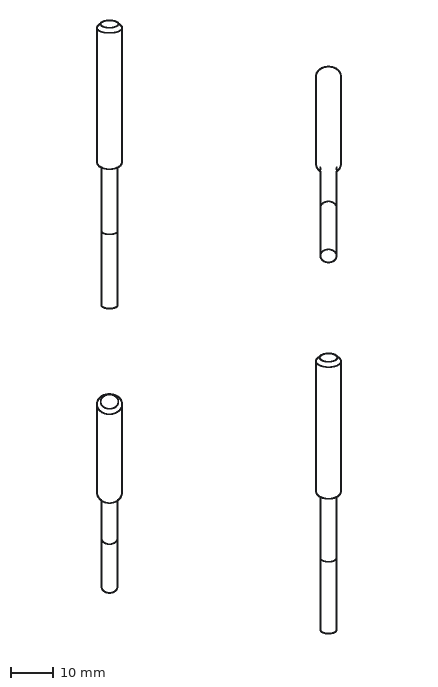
import cadquery as cq

total_length = 74.0
shank_radius = 6.0 / 2
neck_radius = 3.85 / 2
cutter_radius = neck_radius

point_height = 0.6
cutter_length = 20.0
shank_length = 36.0
transition_length = 1.55
shank_bottom = total_length - shank_length
neck_top = shank_bottom - transition_length

chamfer_height = 0.95
chamfer_width = 0.9

middle_radius = (shank_radius + neck_radius) / 2
middle_height = (shank_bottom + neck_top) / 2


def make_cutter():
    """Cylindrical cutting length ending in a conical point."""
    profile = (
        cq.Workplane("XZ")
        .moveTo(0, 0)
        .lineTo(cutter_radius, point_height)
        .lineTo(cutter_radius, cutter_length)
        .lineTo(0, cutter_length)
        .close()
    )
    return profile.revolve(360, (0, 0, 0), (0, 1, 0))


def make_holder():
    """Neck, S-shaped transition and shank with a chamfered end."""
    profile = (
        cq.Workplane("XZ")
        .moveTo(0, cutter_length)
        .lineTo(neck_radius, cutter_length)
        .lineTo(neck_radius, neck_top)
        .tangentArcPoint((middle_radius, middle_height), relative=False)
        .tangentArcPoint((shank_radius, shank_bottom), relative=False)
        .lineTo(shank_radius, total_length - chamfer_height)
        .lineTo(shank_radius - chamfer_width, total_length)
        .lineTo(0, total_length)
        .close()
    )
    return profile.revolve(360, (0, 0, 0), (0, 1, 0))


cutter = make_cutter()
holder = make_holder()

result = cq.Compound.makeCompound([cutter.val(), holder.val()])